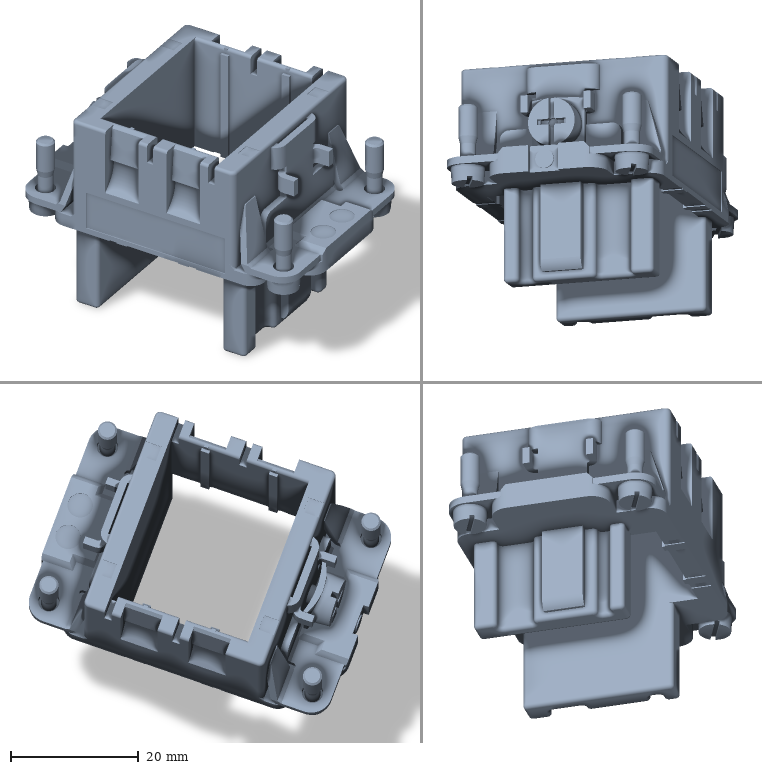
import cadquery as cq
import math

LENGTH = 51.0
WIDTH = 34.0
BODY_LENGTH = 30.0
BODY_TOP = 19.95
BODY_CORNER = 0.9
TOP_ROUND = 0.5
OPENING_LENGTH = 22.8
OPENING_WIDTH = 27.55
LIP_ROUND = 0.5
SHARP_CORNER_TOP = 3.1

WINDOW_X = 5.65
WINDOW_WIDTH = 6.1
WINDOW_BACK = 14.45
WINDOW_BOTTOM = 8.6
WINDOW_LEDGE_Y = 15.45
WINDOW_LEDGE_Z = 13.85
UNDERCUT_Z = 13.45
SWEEP_MIDDLE = (14.8, 11.35)
SILL_Y = 15.95
SILL_Z = 9.65
SLOT_WIDTH = 1.15
SLOT_STARTS = (-1.05, OPENING_LENGTH / 2 - SLOT_WIDTH)
SLOT_BOTTOM = 16.75
RIB_WIDTH = 1.4
RIB_TIP_WIDTH = 0.65
RIB_REACH = 0.5
LABEL_LENGTH = 25.5
LABEL_X = 0.55
LABEL_BOTTOM = 0.95
LABEL_HEIGHT = 6.55
LABEL_DEPTH = 0.15
RELIEF_LENGTH = 15.9
RELIEF_HEIGHT = 0.15
FOOT_WIDTH = 1.95
MARK_SIZE = 2.5
MARK_X = 13.5
MARK_Y = 10.25
MARK_DEPTH = 0.1

FLANGE_TOP = 2.2
SHOULDER_X = 16.5
SHOULDER_ROUND = 2.55
TONGUE_HALF = 9.6
TONGUE_ROUND = 3.05
CAP_TOP = 4.25
CAP_HALF = 7.5
CAP_INNER_HALF = 5.95
CAP_STEP_X = 20.1
GROOVE_WIDTH = 4.9
GROOVE_DEPTH = 0.85
BUTTON_DIAMETER = 3.0
BUTTON_HEIGHT = 0.2
BUTTON_Z = 2.05
DISC_DIAMETER = 4.0
DISC_X = 22.6
DISC_Y = 2.75
DISC_DEPTH = 0.1

SHEET = 1.15
SHEET_TOP = FLANGE_TOP + SHEET
SHEET_END = 25.05
SHEET_WIDTH = 33.65
SHEET_CORNER = 3.3
SHEET_INNER_X = 17.05
NOTCH_INNER_Y = 9.95
GUSSET_INNER_Y = 10.85
NOTCH_END_X = 17.95
GUSSET_TOP = 12.7
GUSSET_FOOT_X = 18.35
GUSSET_BEND_X = 17.3
GUSSET_BEND_Z = 3.9
GUSSET_TOP_X = 15.15
GUSSET_WALL_X = 14.9
GUSSET_UNDERSIDE_X = 16.2
GUSSET_UNDERSIDE_BOTTOM = 3.55
GUSSET_UNDERSIDE_TOP = 9.05
GUSSET_TAPER_BOTTOM = 3.65
GUSSET_TIP_Y = 13.95
GUSSET_TIP_CHAMFER = 0.25
UPRIGHT_INNER_X = SHOULDER_X - SHEET
UPRIGHT_TOP = 9.15
UPRIGHT_CORNER = 1.5
HEEL_RISE = 0.55
NECK_HALF = 4.0
HEAD_HALF = 6.0
HEAD_BOTTOM = 14.95
HEAD_TOP = 18.95
HEAD_ROUND = 1.9
WALL_OVERLAP = 0.5
HEAD_GAP_HALF = 4.45
ARM_END_X = 19.05
ARM_HALF = 5.75
ARM_BOTTOM = 11.15
ARM_TOP = 13.9
ARM_BEND = 0.55

SCREW_X = 21.95
SCREW_Y = 13.45
SCREW_HOLE = 3.3
SCREW_TOP = 12.2
SCREW_HEAD_BOTTOM = -0.35
SCREW_HEAD_DIAMETER = 5.4
SCREW_HEAD_END_DIAMETER = 5.1
SCREW_HEAD_TAPER_TOP = 1.75
SHANK_DIAMETER = 2.45
SHANK_TOP = 5.9
THREAD_DIAMETER = 3.0
THREAD_BOTTOM = 7.1
THREAD_CHAMFER = 0.3
SCREW_SLOT_WIDTH = 0.8
SCREW_SLOT_TOP = 0.25
SCREW_SLOT_ANGLE = 24.0

EARTH_Z = 8.85
EARTH_DIAMETER = 8.0
EARTH_FACE_DIAMETER = 7.65
EARTH_FACE_X = 21.2
EARTH_SLOT_WIDTH = 0.85
EARTH_SLOT_DEPTH = 1.0
CROSS_LENGTH = 4.7
CROSS_DEEP_LENGTH = 3.9
CROSS_END_DEPTH = 0.5
PILOT_DIAMETER = 1.55
PILOT_DEPTH = 1.3
EARTH_SHANK = 3.05
WASHER_SIZE = 8.65
WASHER_CROWN_X = 18.8
WASHER_BOW = 1.1
WASHER_SHEET = 1.05
WASHER_EDGE = 0.6

LEG_BOTTOM = -15.05
LEG_OUTER_X = 15.65
LEG_FRONT_Y = -14.85
LEG_BACK_Y = 9.75
LEG_ROUND = 0.65
LEG_BOTTOM_ROUND = 0.6
LEG_OVERLAP = 0.5
MIDDLE_LAND_X = -15.15
CHANNEL_FLOOR_X = -13.6
CHANNEL_ROUND = 0.74
FRONT_CHANNEL = (-11.1, -5.25)
BACK_CHANNEL = (5.15, 7.3)
PANEL_HALF = 3.3
PANEL_ROUND_TOP = -12.05
PANEL_ROUND_MIDDLE = (-16.25, -13.0)
PANEL_BOTTOM = -13.75


def box(x0, x1, y0, y1, z0, z1):
    """Axis-aligned block between two corners."""
    return cq.Workplane("XY").box(x1 - x0, y1 - y0, z1 - z0, centered=False).translate((x0, y0, z0))


def both_y(shape):
    """The shape together with its mirror image across the XZ plane."""
    return shape.union(shape.mirror("XZ"))


def cylinder_z(x, y, z0, z1, diameter):
    return cq.Workplane("XY", origin=(x, y, z0)).circle(diameter / 2).extrude(z1 - z0)


def frame_walls():
    half_x = BODY_LENGTH / 2
    half_y = WIDTH / 2
    upper = box(-half_x, half_x, -half_y, half_y, 0, BODY_TOP)
    upper = upper.edges("|Z").fillet(BODY_CORNER).faces(">Z").edges().fillet(TOP_ROUND)
    foot_chamfer = BODY_CORNER - 0.05
    foot = box(-half_x, half_x, -half_y, half_y, 0, SHARP_CORNER_TOP)
    return upper.union(foot.faces(">Z").edges("|Y").chamfer(foot_chamfer))


def flange():
    """Plastic outline at the -X end, running in under the body."""
    half_y = WIDTH / 2
    end = LENGTH / 2
    neck_x = SHOULDER_X + SHOULDER_ROUND
    k = 1 - math.sqrt(0.5)
    half = (
        cq.Workplane("XY")
        .moveTo(0, 0)
        .lineTo(-end, 0)
        .lineTo(-end, TONGUE_HALF - TONGUE_ROUND)
        .threePointArc(
            (-end + k * TONGUE_ROUND, TONGUE_HALF - k * TONGUE_ROUND),
            (-end + TONGUE_ROUND, TONGUE_HALF),
        )
        .lineTo(-neck_x, TONGUE_HALF)
        .lineTo(-neck_x, half_y - SHOULDER_ROUND)
        .threePointArc(
            (-neck_x + k * SHOULDER_ROUND, half_y - k * SHOULDER_ROUND),
            (-SHOULDER_X, half_y),
        )
        .lineTo(0, half_y)
        .close()
    )
    return both_y(half.extrude(CAP_TOP))


def cap():
    """Raised T-shaped block above the sheet, with sloping sides."""
    rise = CAP_TOP - SHEET_TOP
    outer_x = LENGTH / 2 + CAP_TOP
    wide = box(-outer_x, -CAP_STEP_X, -CAP_HALF, CAP_HALF, 0, CAP_TOP)
    wide = wide.faces(">Z").edges("not <X").chamfer(rise)
    stem = box(-CAP_STEP_X - 2 * rise, -SHOULDER_X, -CAP_INNER_HALF, CAP_INNER_HALF, 0, CAP_TOP)
    stem = stem.faces(">Z").edges("not <X").chamfer(rise)
    return wide.union(stem)


def end_plastic():
    outline = flange()
    low = outline.intersect(box(-LENGTH, 0, -WIDTH, WIDTH, 0, FLANGE_TOP))
    return low.union(outline.intersect(cap()))


def sheet_plate():
    half_y = SHEET_WIDTH / 2
    plate = box(-SHEET_END, -SHEET_INNER_X, -half_y, half_y, FLANGE_TOP, SHEET_TOP)
    plate = plate.edges("|Z and <X").fillet(SHEET_CORNER)
    notch_width = GUSSET_INNER_Y - NOTCH_INNER_Y
    notch_y = (GUSSET_INNER_Y + NOTCH_INNER_Y) / 2
    notch_center = NOTCH_END_X - notch_width / 2
    notch = box(-notch_center, -SHEET_INNER_X, NOTCH_INNER_Y, GUSSET_INNER_Y, FLANGE_TOP, SHEET_TOP)
    notch = notch.union(cylinder_z(-notch_center, notch_y, FLANGE_TOP, SHEET_TOP, notch_width))
    hole = cylinder_z(-SCREW_X, SCREW_Y, FLANGE_TOP, SHEET_TOP, SCREW_HOLE)
    return plate.cut(both_y(notch)).cut(both_y(hole))


def gusset():
    """Bent-up corner strip leaning against the body wall, tapering upward."""
    profile = [
        (-GUSSET_FOOT_X, FLANGE_TOP),
        (-GUSSET_FOOT_X, SHEET_TOP),
        (-NOTCH_END_X, SHEET_TOP),
        (-GUSSET_BEND_X, GUSSET_BEND_Z),
        (-GUSSET_TOP_X, GUSSET_TOP),
        (-GUSSET_WALL_X, GUSSET_TOP),
        (-GUSSET_WALL_X, GUSSET_UNDERSIDE_TOP),
        (-GUSSET_UNDERSIDE_X, GUSSET_UNDERSIDE_BOTTOM),
        (-SHEET_INNER_X, FLANGE_TOP),
    ]
    half_y = SHEET_WIDTH / 2
    strip = cq.Workplane("XZ").polyline(profile).close().extrude(-half_y)
    taper = [
        (GUSSET_INNER_Y, FLANGE_TOP),
        (half_y, FLANGE_TOP),
        (half_y, GUSSET_TAPER_BOTTOM),
        (GUSSET_TIP_Y, GUSSET_TOP - GUSSET_TIP_CHAMFER),
        (GUSSET_TIP_Y - GUSSET_TIP_CHAMFER, GUSSET_TOP),
        (GUSSET_INNER_Y, GUSSET_TOP),
    ]
    side = cq.Workplane("YZ").polyline(taper).close().extrude(-LENGTH)
    return both_y(strip.intersect(side))


def upright():
    """Vertical sheet with a narrow neck, a T-shaped head and two forward arms."""
    wall_x = BODY_LENGTH / 2
    x0, x1 = -SHOULDER_X, -UPRIGHT_INNER_X
    base = box(x0, x1, -NOTCH_INNER_Y, NOTCH_INNER_Y, 0, UPRIGHT_TOP)
    base = base.edges("|X and >Z").fillet(UPRIGHT_CORNER)
    neck = box(x0, x1, -NECK_HALF, NECK_HALF, UPRIGHT_TOP, HEAD_BOTTOM)
    head = box(x0, -wall_x + WALL_OVERLAP, -HEAD_HALF, HEAD_HALF, HEAD_BOTTOM, HEAD_TOP)
    head = head.edges("|Z and <X").fillet(HEAD_ROUND)
    head = head.cut(box(x1, -wall_x, -HEAD_GAP_HALF, HEAD_GAP_HALF, HEAD_BOTTOM, HEAD_TOP))
    bridge = box(-ARM_END_X, x1, -ARM_HALF, ARM_HALF, ARM_BOTTOM, ARM_TOP)
    bridge = bridge.edges("|Z and >X").fillet(SHEET + ARM_BEND)
    mouth_half = ARM_HALF - SHEET
    mouth = box(-ARM_END_X, x0, -mouth_half, mouth_half, ARM_BOTTOM, ARM_TOP)
    mouth = mouth.edges("|Z and >X").fillet(ARM_BEND)
    heel = (
        cq.Workplane("XZ", origin=(0, NOTCH_INNER_Y, 0))
        .polyline([(-SHEET_INNER_X, SHEET_TOP), (x0, SHEET_TOP + HEEL_RISE), (x0, 0), (-SHEET_INNER_X, 0)])
        .close()
        .extrude(2 * NOTCH_INNER_Y)
    )
    return base.union(neck).union(head).union(bridge.cut(mouth)).union(heel)


def leg():
    """Hanging leg with thick ends, two channels, a middle land and a raised panel on it."""
    inner_x = -OPENING_LENGTH / 2
    blank = box(-LEG_OUTER_X, inner_x, LEG_FRONT_Y, LEG_BACK_Y, LEG_BOTTOM, LEG_OVERLAP)
    middle = box(-LEG_OUTER_X, MIDDLE_LAND_X, FRONT_CHANNEL[0], BACK_CHANNEL[1], LEG_BOTTOM, LEG_OVERLAP)
    blank = blank.cut(middle)
    for y0, y1 in (FRONT_CHANNEL, BACK_CHANNEL):
        blank = blank.cut(box(MIDDLE_LAND_X, CHANNEL_FLOOR_X, y0, y1, LEG_BOTTOM, LEG_OVERLAP))
    blank = blank.edges("|Z and (<Y or >Y)").fillet(LEG_ROUND)
    channel_zone = cq.selectors.BoxSelector(
        (-SHOULDER_X, FRONT_CHANNEL[0] - LEG_ROUND, LEG_BOTTOM),
        (inner_x, BACK_CHANNEL[1] + LEG_ROUND, LEG_OVERLAP),
    )
    blank = blank.edges("|Z").edges(channel_zone).fillet(CHANNEL_ROUND)
    blank = blank.faces("<Z").edges().fillet(LEG_BOTTOM_ROUND)
    panel = (
        cq.Workplane("XZ", origin=(0, PANEL_HALF, 0))
        .moveTo(-SHOULDER_X, 0)
        .lineTo(-SHOULDER_X, PANEL_ROUND_TOP)
        .threePointArc(PANEL_ROUND_MIDDLE, (-LEG_OUTER_X, PANEL_BOTTOM))
        .lineTo(inner_x - LEG_ROUND, PANEL_BOTTOM)
        .lineTo(inner_x - LEG_ROUND, 0)
        .close()
        .extrude(2 * PANEL_HALF)
    )
    return blank.union(panel)


def fixing_screw():
    """Captive screw hanging from the sheet, head below and thread above."""
    head = SCREW_HEAD_DIAMETER / 2
    shank = SHANK_DIAMETER / 2
    thread = THREAD_DIAMETER / 2
    profile = [
        (0, SCREW_HEAD_BOTTOM),
        (SCREW_HEAD_END_DIAMETER / 2, SCREW_HEAD_BOTTOM),
        (head, SCREW_HEAD_TAPER_TOP),
        (head, FLANGE_TOP),
        (shank, FLANGE_TOP),
        (shank, SHANK_TOP),
        (thread, THREAD_BOTTOM),
        (thread, SCREW_TOP - THREAD_CHAMFER),
        (thread - THREAD_CHAMFER, SCREW_TOP),
        (0, SCREW_TOP),
    ]
    screw = cq.Workplane("XZ").polyline(profile).close().revolve(360, (0, 0, 0), (0, 1, 0))
    half = SCREW_SLOT_WIDTH / 2
    slot = box(-SCREW_HOLE, SCREW_HOLE, -half, half, SCREW_HEAD_BOTTOM, SCREW_SLOT_TOP)
    return screw.cut(slot.rotate((0, 0, 0), (0, 0, 1), SCREW_SLOT_ANGLE))


def earth_plane(x):
    """YZ workplane centred on the earth screw axis."""
    return cq.Workplane("YZ", origin=(x, 0, EARTH_Z))


def earth_screw():
    """Slotted, cross-recessed screw whose shank reaches the body wall."""
    seat_x = -WASHER_CROWN_X
    face_x = -EARTH_FACE_X
    head = (
        earth_plane(face_x)
        .circle(EARTH_FACE_DIAMETER / 2)
        .workplane(offset=seat_x - face_x)
        .circle(EARTH_DIAMETER / 2)
        .loft()
    )
    seat = earth_plane(seat_x).circle(EARTH_DIAMETER / 2).extrude(WASHER_BOW)
    shank = earth_plane(seat_x).circle(EARTH_SHANK / 2).extrude(-BODY_LENGTH / 2 - seat_x)
    slot = earth_plane(face_x).rect(EARTH_SLOT_WIDTH, EARTH_DIAMETER).extrude(EARTH_SLOT_DEPTH)
    cross = earth_plane(face_x).rect(CROSS_LENGTH, EARTH_SLOT_WIDTH).extrude(CROSS_END_DEPTH)
    deep_cross = earth_plane(face_x).rect(CROSS_DEEP_LENGTH, EARTH_SLOT_WIDTH).extrude(EARTH_SLOT_DEPTH)
    pilot = earth_plane(face_x).circle(PILOT_DIAMETER / 2).extrude(PILOT_DEPTH)
    recess = slot.union(cross).union(deep_cross).union(pilot)
    return head.union(seat).union(shank).cut(recess)


def washer():
    """Square washer bowed about a vertical axis."""
    half = WASHER_SIZE / 2
    front_edge = -WASHER_CROWN_X + WASHER_BOW
    back_edge = front_edge + WASHER_EDGE
    return (
        cq.Workplane("XY", origin=(0, 0, EARTH_Z - half))
        .moveTo(front_edge, -half)
        .threePointArc((-WASHER_CROWN_X, 0), (front_edge, half))
        .lineTo(back_edge, half)
        .threePointArc((-WASHER_CROWN_X + WASHER_SHEET, 0), (back_edge, -half))
        .close()
        .extrude(WASHER_SIZE)
    )


def opening_cut():
    half_x = OPENING_LENGTH / 2
    half_y = OPENING_WIDTH / 2
    opening = box(-half_x, half_x, -half_y, half_y, LEG_BOTTOM, BODY_TOP)
    k = LIP_ROUND * (1 - math.sqrt(0.5))
    lip = (
        cq.Workplane("YZ", origin=(-half_x, 0, 0))
        .moveTo(half_y, BODY_TOP - LIP_ROUND)
        .threePointArc((half_y + k, BODY_TOP - k), (half_y + LIP_ROUND, BODY_TOP))
        .lineTo(half_y, BODY_TOP)
        .close()
        .extrude(OPENING_LENGTH)
    )
    return opening.union(both_y(lip))


def window_cut(x):
    """Outside pocket: bevelled sloping back, undercut, then a sweep out to a sloping sill."""
    half_y = WIDTH / 2
    pocket = (
        cq.Workplane("YZ", origin=(x - WINDOW_WIDTH / 2, 0, 0))
        .moveTo(half_y, BODY_TOP)
        .lineTo(WINDOW_BACK, BODY_TOP)
        .lineTo(WINDOW_BACK + TOP_ROUND, BODY_TOP - TOP_ROUND)
        .lineTo(WINDOW_LEDGE_Y, WINDOW_LEDGE_Z)
        .lineTo(WINDOW_BACK, UNDERCUT_Z)
        .threePointArc(SWEEP_MIDDLE, (SILL_Y, SILL_Z))
        .lineTo(half_y, WINDOW_BOTTOM)
        .close()
        .extrude(WINDOW_WIDTH)
    )
    return both_y(pocket)


def inner_rib(x):
    """Vertical guide rib on each long inner wall, narrower at its tip."""
    y0 = OPENING_WIDTH / 2 - RIB_REACH
    y1 = OPENING_WIDTH / 2 + LIP_ROUND
    half = RIB_WIDTH / 2
    tip = RIB_TIP_WIDTH / 2
    rib = box(x - half, x + half, y0, y1, 0, BODY_TOP - 2 * LIP_ROUND)
    rib = rib.union(box(x - tip, x + tip, y0 + RIB_REACH, y1, 0, BODY_TOP))
    return both_y(rib)


def bottom_relief():
    """Shallow lift of the long walls' underside, leaving two feet on each."""
    half = RELIEF_LENGTH / 2
    relief = box(-half, half, -WIDTH, WIDTH, 0, RELIEF_HEIGHT)
    for x in (-WINDOW_X, WINDOW_X):
        relief = relief.cut(box(x - FOOT_WIDTH / 2, x + FOOT_WIDTH / 2, -WIDTH, WIDTH, 0, RELIEF_HEIGHT))
    return relief


end = end_plastic().union(sheet_plate()).union(gusset()).union(upright()).union(leg())
result = frame_walls().union(end).union(end.mirror("YZ"))
result = result.cut(opening_cut())

for window_x in (-WINDOW_X, WINDOW_X):
    result = result.cut(window_cut(window_x)).union(inner_rib(window_x))
for slot_x in SLOT_STARTS:
    result = result.cut(box(slot_x, slot_x + SLOT_WIDTH, -WIDTH, WIDTH, SLOT_BOTTOM, BODY_TOP))
label = box(
    LABEL_X - LABEL_LENGTH / 2,
    LABEL_X + LABEL_LENGTH / 2,
    WIDTH / 2 - LABEL_DEPTH,
    WIDTH / 2,
    LABEL_BOTTOM,
    LABEL_BOTTOM + LABEL_HEIGHT,
)
result = result.cut(label.mirror("XZ")).cut(bottom_relief())

for mark_x in (-MARK_X, MARK_X):
    for mark_y in (-MARK_Y, MARK_Y):
        mark = cq.Workplane("XY", origin=(mark_x, mark_y, BODY_TOP)).rect(MARK_SIZE, MARK_SIZE)
        result = result.cut(mark.extrude(-MARK_DEPTH))

groove_x = -LENGTH / 2 + GROOVE_DEPTH
result = result.cut(box(-LENGTH / 2, groove_x, -GROOVE_WIDTH / 2, GROOVE_WIDTH / 2, 0, CAP_TOP))
button = cq.Workplane("YZ", origin=(groove_x, 0, BUTTON_Z)).circle(BUTTON_DIAMETER / 2)
result = result.union(button.extrude(-BUTTON_HEIGHT))
for disc_y in (-DISC_Y, DISC_Y):
    result = result.cut(cylinder_z(DISC_X, disc_y, CAP_TOP - DISC_DEPTH, CAP_TOP, DISC_DIAMETER))

result = result.union(earth_screw()).union(washer())
for screw_x in (-SCREW_X, SCREW_X):
    for screw_y in (-SCREW_Y, SCREW_Y):
        result = result.union(fixing_screw().translate((screw_x, screw_y, 0)))
result = result.clean()